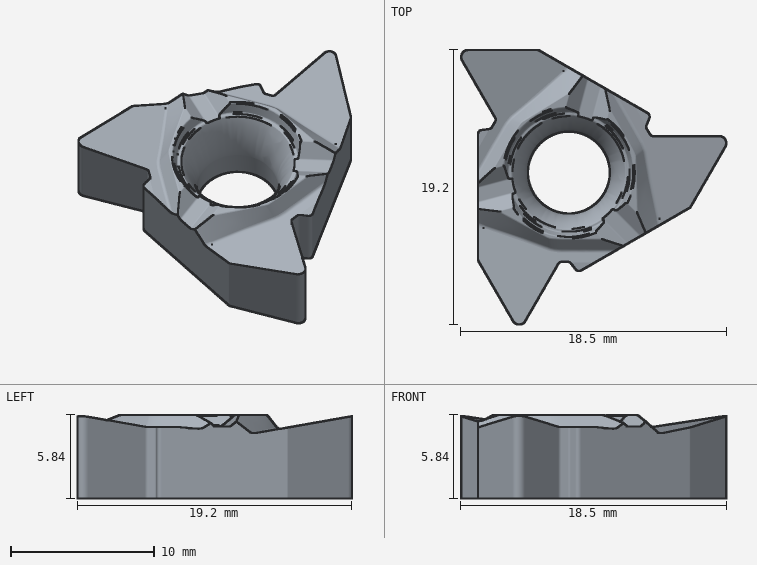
import cadquery as cq
import math

TEETH = 3
TOOTH_PITCH_DEG = 360 / TEETH

HEIGHT = 5.84
INSCRIBED_RADIUS = 6.35
LEADING_FLANK = 8.56
TRAILING_FLANK = 2.55
FLANK_HALF_ANGLE = 30
TIP_RADIUS = 0.5
HEEL_RADIUS = 0.2

NOTCH_DEPTH_LINE = 6.24
NOTCH_WIDTH = 0.72
NUB_ANGLE = 52
NUB_RADIUS = 0.3
NOTCH_RADIUS = 0.25

RAKE_ANGLE = 10
NUB_HEIGHT = 5.0
RAKE_START = 6.3
RAKE_FLOOR = 4.57
NUB_SIDE_X = -0.3

WALL_FOOT_LEVEL = 4.5
WALL_CREST = [(-6.8, -1.68), (-1.22, -4.68), (4.5, -4.68)]
WALL_FOOT = [(-7.0, -3.42), (-0.88, -5.73), (4.5, -5.73)]
WALL_CREST_BLEND = 0.2
WALL_FOOT_BLEND = 0.5
WALL_RADIUS = 0.25

SLOT_FLOOR = 5.03
SLOT_WIDTH = 1.03
SLOT_SIDE_ANGLE = 40
SLOT_RADIUS = 0.2
SLOT_DIRECTION = 15
SLOT_OFFSET = 0.12

BORE_RADIUS = 5.7 / 2
SEAT_START = 1.95
SEAT_ARC_RADIUS = 4.82
SEAT_END_ANGLE = 40
GROOVE_BOTTOM_RADIUS = 4.22
GROOVE_TOP_RADIUS = 4.52
GROOVE_RADIUS = 0.13
CREST_RADIUS = 0.12

MARGIN = 1.0
REACH = 12.0


def sin(deg):
    return math.sin(math.radians(deg))


def cos(deg):
    return math.cos(math.radians(deg))


def tan(deg):
    return math.tan(math.radians(deg))


def crossing(line_a, line_b):
    """Crossing point of two lines, each given as (normal direction, distance from the axis)."""
    (angle_a, dist_a), (angle_b, dist_b) = line_a, line_b
    det = sin(angle_b - angle_a)
    x = (dist_a * sin(angle_b) - dist_b * sin(angle_a)) / det
    y = (dist_b * cos(angle_a) - dist_a * cos(angle_b)) / det
    return x, y


def spin(point, deg):
    x, y = point
    return x * cos(deg) - y * sin(deg), x * sin(deg) + y * cos(deg)


def at_each_tooth(solid):
    """Copies of a solid made for the -Y tooth, one for every tooth."""
    return [solid.rotate((0, 0, 0), (0, 0, 1), i * TOOTH_PITCH_DEG) for i in range(TEETH)]


def cut_at_each_tooth(body, solid):
    for copy in at_each_tooth(solid):
        body = body.cut(copy)
    return body


def make_blank():
    left_side = (180, INSCRIBED_RADIUS)
    right_side = (180 + TOOTH_PITCH_DEG, INSCRIBED_RADIUS)
    leading = (180 + FLANK_HALF_ANGLE, LEADING_FLANK)
    trailing = (-FLANK_HALF_ANGLE, TRAILING_FLANK)
    notch_floor = (270, NOTCH_DEPTH_LINE)

    heel = crossing(left_side, leading)
    tip = crossing(leading, trailing)
    notch_in = crossing(trailing, notch_floor)
    notch_out = (notch_in[0] + NOTCH_WIDTH, notch_in[1])
    nub_normal = 270 - NUB_ANGLE
    nub_distance = notch_out[0] * cos(nub_normal) + notch_out[1] * sin(nub_normal)
    nub = crossing((nub_normal, nub_distance), right_side)

    corners = [
        (heel, HEEL_RADIUS),
        (tip, TIP_RADIUS),
        (notch_in, NOTCH_RADIUS),
        (notch_out, NOTCH_RADIUS),
        (nub, NUB_RADIUS),
    ]
    turns = [i * TOOTH_PITCH_DEG for i in range(TEETH)]
    outline = [spin(point, turn) for turn in turns for point, _ in corners]
    body = cq.Workplane("XY").polyline(outline).close().extrude(HEIGHT)
    for corner, radius in corners:
        for turn in turns:
            x, y = spin(corner, turn)
            edge = cq.selectors.NearestToPointSelector((x, y, HEIGHT / 2))
            body = body.edges("|Z").edges(edge).fillet(radius)
    return body


def make_wall_section(line, blend, level):
    """Closed section of the wall cutter: a bent line with a rounded bend, closed far outside."""
    start, bend, end = [cq.Vector(x, y, level) for x, y in line]
    run_in = (bend - start).normalized()
    run_out = (end - bend).normalized()
    wall_line = cq.Edge.makeSpline(
        [start, bend - run_in * blend, bend + run_out * blend, end],
        tangents=[run_in, run_in, run_out, run_out],
    )
    outer_end = cq.Vector(end.x, -REACH, level)
    outer_start = cq.Vector(start.x, -REACH, level)
    return cq.Wire.assembleEdges([
        wall_line,
        cq.Edge.makeLine(end, outer_end),
        cq.Edge.makeLine(outer_end, outer_start),
        cq.Edge.makeLine(outer_start, start),
    ])


def make_wall_cutter():
    """Everything outside the chip breaker wall of the -Y tooth."""
    top = HEIGHT + MARGIN
    growth = (top - WALL_FOOT_LEVEL) / (HEIGHT - WALL_FOOT_LEVEL)
    crest = [
        (foot_x + (crest_x - foot_x) * growth, foot_y + (crest_y - foot_y) * growth)
        for (crest_x, crest_y), (foot_x, foot_y) in zip(WALL_CREST, WALL_FOOT)
    ]
    sections = [
        make_wall_section(WALL_FOOT, WALL_FOOT_BLEND, WALL_FOOT_LEVEL),
        make_wall_section(crest, WALL_CREST_BLEND, top),
    ]
    return cq.Workplane(cq.Solid.makeLoft(sections, True))


def make_rake_cutter():
    """Chip breaker pocket above the sloping rake face of the -Y tooth."""
    floor_end = RAKE_START - (NUB_HEIGHT - RAKE_FLOOR) / tan(RAKE_ANGLE)
    rake_end_height = NUB_HEIGHT + (REACH - RAKE_START) * tan(RAKE_ANGLE)
    top = HEIGHT + MARGIN
    above_rake = (
        cq.Workplane("YZ")
        .polyline([
            (0, RAKE_FLOOR),
            (-floor_end, RAKE_FLOOR),
            (-REACH, rake_end_height),
            (-REACH, top),
            (0, top),
        ])
        .close()
        .extrude(REACH, both=True)
    )
    pocket = make_wall_cutter().intersect(above_rake)
    low_edges = cq.selectors.BoxSelector(
        (-INSCRIBED_RADIUS, -INSCRIBED_RADIUS, WALL_FOOT_LEVEL), (INSCRIBED_RADIUS, 0, NUB_HEIGHT)
    )
    floor_to_rake = cq.selectors.NearestToPointSelector((-INSCRIBED_RADIUS, -floor_end, RAKE_FLOOR))
    return pocket.edges(low_edges - floor_to_rake).fillet(WALL_RADIUS)


def make_nub_cutter():
    """Levels the nub beside the -Y tooth."""
    return (
        cq.Workplane("XY", origin=(0, 0, NUB_HEIGHT))
        .moveTo(NUB_SIDE_X, -RAKE_START)
        .rect(REACH, -MARGIN, centered=False)
        .extrude(HEIGHT)
    )


def make_slot_cutter():
    """Radial slot with sloping sides, running from the hole out through the -X side."""
    depth = HEIGHT - SLOT_FLOOR
    half_floor = SLOT_WIDTH / 2
    rise = depth + MARGIN
    half_top = half_floor + rise / tan(SLOT_SIDE_ANGLE)
    top = SLOT_FLOOR + rise
    slot = (
        cq.Workplane("YZ")
        .polyline([
            (SLOT_OFFSET - half_floor, SLOT_FLOOR),
            (SLOT_OFFSET + half_floor, SLOT_FLOOR),
            (SLOT_OFFSET + half_top, top),
            (SLOT_OFFSET - half_top, top),
        ])
        .close()
        .extrude(-REACH)
        .edges("|X")
        .edges("<Z")
        .fillet(SLOT_RADIUS)
    )
    return slot.rotate((0, 0, 0), (0, 0, 1), SLOT_DIRECTION)


def make_hole_cutter():
    """Screw hole, its curved seat and the groove around the mouth, as one turned solid."""
    def on_seat(angle):
        radius = BORE_RADIUS + SEAT_ARC_RADIUS * (1 - cos(angle))
        return radius, SEAT_START + SEAT_ARC_RADIUS * sin(angle)

    lip_radius, lip_height = on_seat(SEAT_END_ANGLE)
    cutter = (
        cq.Workplane("XZ")
        .lineTo(BORE_RADIUS, 0)
        .lineTo(BORE_RADIUS, SEAT_START)
        .threePointArc(on_seat(SEAT_END_ANGLE / 2), (lip_radius, lip_height))
        .lineTo(GROOVE_BOTTOM_RADIUS, lip_height)
        .lineTo(GROOVE_TOP_RADIUS, HEIGHT)
        .lineTo(0, HEIGHT)
        .close()
        .revolve(360, (0, 0, 0), (0, 1, 0))
    )
    lip = cq.selectors.RadiusNthSelector(1)
    groove_foot = cq.selectors.RadiusNthSelector(2)
    return cutter.edges(lip + groove_foot).fillet(GROOVE_RADIUS)


result = make_blank()
result = cut_at_each_tooth(result, make_rake_cutter())
result = cut_at_each_tooth(result, make_nub_cutter())
result = cut_at_each_tooth(result, make_slot_cutter())
result = result.cut(make_hole_cutter())
result = result.faces(">Z").edges().fillet(CREST_RADIUS)